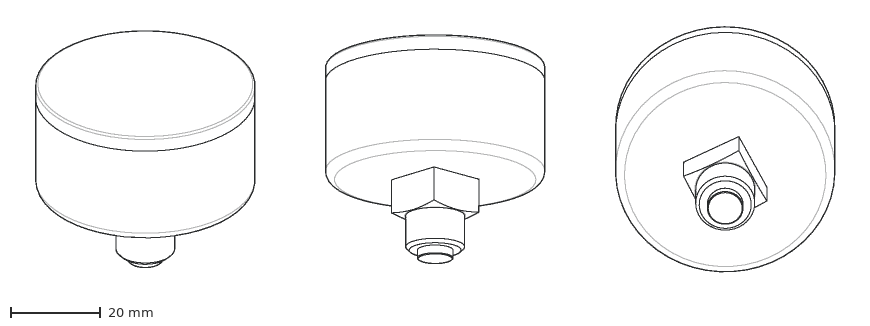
import cadquery as cq
import math

total_height = 45.0
tip_height = 2.0
thread_top = 10.0
case_bottom = 18.45
seam_height = 41.5

case_diameter = 49
case_bottom_fillet = 2.0
lid_top_fillet = 0.5

square_width = 13.8
square_end_diameter = 13.6
square_cone_angle = 15
thread_diameter = 13.2
thread_chamfer = 0.8
tip_diameter = 8.0
tip_chamfer = 0.2


def cylinder(diameter, bottom, top):
    """Upright cylinder on the Z axis between two heights."""
    return cq.Workplane("XY").workplane(offset=bottom).circle(diameter / 2).extrude(top - bottom)


def make_square():
    """Wrench square whose lower corners are trimmed by a shallow cone."""
    height = case_bottom - thread_top
    square = (
        cq.Workplane("XY")
        .workplane(offset=thread_top)
        .rect(square_width, square_width)
        .extrude(height)
    )
    end_radius = square_end_diameter / 2
    outer_radius = square_width
    cone_rise = (outer_radius - end_radius) * math.tan(math.radians(square_cone_angle))
    trim = (
        cq.Workplane("XZ")
        .moveTo(0, thread_top)
        .lineTo(end_radius, thread_top)
        .lineTo(outer_radius, thread_top + cone_rise)
        .lineTo(outer_radius, case_bottom)
        .lineTo(0, case_bottom)
        .close()
        .revolve(360, (0, 0, 0), (0, 1, 0))
    )
    return square.intersect(trim)


def make_stem():
    """Wrench square, chamfered thread and the smaller tip below it."""
    thread = cylinder(thread_diameter, tip_height, thread_top).faces("<Z").chamfer(thread_chamfer)
    tip = cylinder(tip_diameter, 0, tip_height).faces("<Z").chamfer(tip_chamfer)
    return make_square().union(thread).union(tip)


def make_housing():
    """Round case with a rounded lower edge, in one piece with its stem."""
    case = cylinder(case_diameter, case_bottom, seam_height).faces("<Z").edges().fillet(case_bottom_fillet)
    return case.union(make_stem())


def make_lid():
    """Flat lid, flush with the case, with a rounded upper edge."""
    return cylinder(case_diameter, seam_height, total_height).faces(">Z").edges().fillet(lid_top_fillet)


housing = make_housing()
lid = make_lid()

result = cq.Compound.makeCompound([housing.val(), lid.val()])